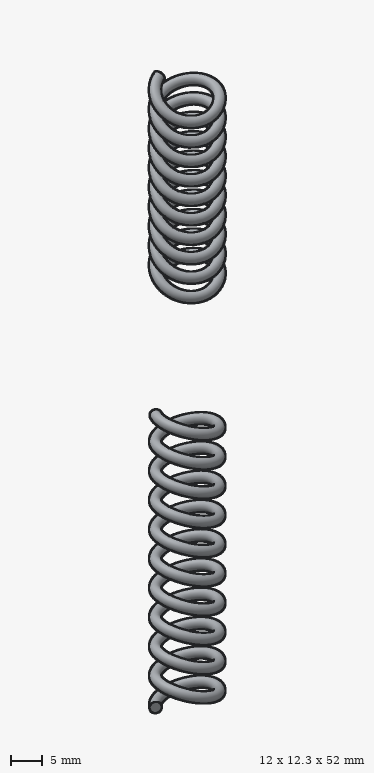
import cadquery as cq

spring_height = 52.0
coil_width = 12.0
wire_diameter = 2.0
turns = 10

wire_radius = wire_diameter / 2
coil_radius = (coil_width - wire_diameter) / 2
pitch = (spring_height - wire_diameter) / turns
half_rise = pitch / 2


def half_turn(index):
    """Half ring in a tilted plane, rising from one side of the coil to the other.

    Even half turns pass behind the axis from -X to +X, odd ones return in front.
    """
    side = -1 if index % 2 == 0 else 1
    start_x = side * coil_radius
    start_z = wire_radius + index * half_rise
    center_z = start_z + half_rise / 2

    axis_start = (-start_x, center_z - start_z)
    axis_end = (axis_start[0] + side * half_rise, axis_start[1] + 2 * coil_radius)

    return (
        cq.Workplane("XZ", origin=(start_x, 0, start_z))
        .circle(wire_radius)
        .revolve(180, axis_end, axis_start)
    )


result = half_turn(0)
for index in range(1, 2 * turns):
    result = result.union(half_turn(index))